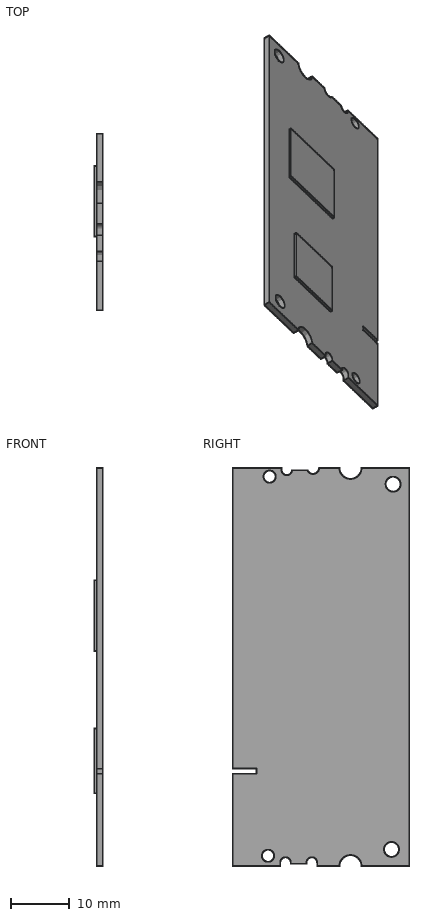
import cadquery as cq

board_length = 67.6
board_width = 30.0
board_thickness = 1.1
chip_height = 0.4

large_hole_diameter = 2.5
small_hole_diameter = 2.0
large_holes = [(2.8, board_length - 2.8), (3.05, 2.85)]
small_holes = [(23.7, board_length - 1.5), (24.0, 1.75)]

large_notch_across = board_width / 3
large_notch_diameter = 3.7

step_depth = 0.4
upper_notches = [(16.35, 0.0, 2.0), (20.8, 0.35, 1.75)]
lower_notches = [(16.55, 0.6, 1.75), (21.0, 0.6, 1.75)]

slot_depth = 4.05
slot_width = 0.9
slot_bottom = 15.7

chips = [(5.5, 36.5, 12.0, 12.0), (6.95, 12.4, 10.0, 11.0)]


def block(across, bottom, width, length, x_start, thickness):
    """Rectangular block placed by its +Y side and its lower side."""
    y_start = board_width / 2 - across - width
    corner = (x_start, y_start, bottom - board_length / 2)
    return cq.Workplane("XY").box(thickness, width, length, centered=False).translate(corner)


def board_block(across, bottom, width, length):
    """Block through the full board thickness."""
    return block(across, bottom, width, length, 0, board_thickness)


def round_cutout(across, height, diameter):
    centre = (0, board_width / 2 - across, height - board_length / 2)
    return cq.Workplane("YZ", origin=centre).circle(diameter / 2).extrude(board_thickness)


def edge_cutout(across, depth, width, at_top):
    """Rectangular cut from a short edge inward."""
    bottom = board_length - depth if at_top else 0
    return board_block(across, bottom, width, depth)


def cut_notch_pair(board, notches, at_top):
    """Cut two round-ended notches and the step between their centres."""
    for across, centre_depth, diameter in notches:
        height = board_length - centre_depth if at_top else centre_depth
        board = board.cut(round_cutout(across, height, diameter))
        if centre_depth > 0:
            board = board.cut(edge_cutout(across - diameter / 2, centre_depth, diameter, at_top))
    first_across = notches[0][0]
    last_across = notches[-1][0]
    return board.cut(edge_cutout(first_across, step_depth, last_across - first_across, at_top))


result = board_block(0, 0, board_width, board_length)

for across, height in large_holes:
    result = result.cut(round_cutout(across, height, large_hole_diameter))
for across, height in small_holes:
    result = result.cut(round_cutout(across, height, small_hole_diameter))

for edge_height in (0, board_length):
    result = result.cut(round_cutout(large_notch_across, edge_height, large_notch_diameter))
result = cut_notch_pair(result, upper_notches, at_top=True)
result = cut_notch_pair(result, lower_notches, at_top=False)

result = result.cut(board_block(board_width - slot_depth, slot_bottom, slot_depth, slot_width))

for across, bottom, width, length in chips:
    result = result.union(block(across, bottom, width, length, -chip_height, chip_height))